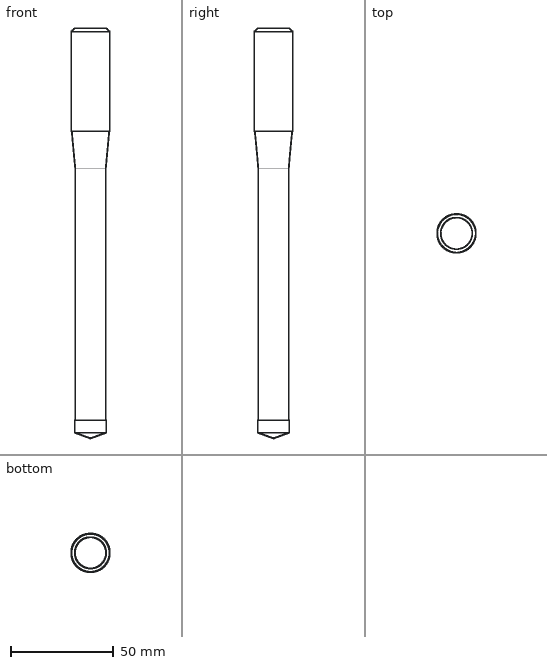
import cadquery as cq

TOTAL_LENGTH = 200.8
SHANK_RADIUS = 19.0 / 2
TAPER_TOP_RADIUS = 18.5 / 2
TIP_RADIUS = 15.5 / 2
STEM_RELIEF = 0.18
STEM_RADIUS = TIP_RADIUS - STEM_RELIEF

BOTTOM = -TOTAL_LENGTH / 2
TOP = TOTAL_LENGTH / 2
POINT_HEIGHT = 2.8
TIP_LENGTH = 9.0
SHANK_LENGTH = 50.5
TAPER_LENGTH = 18.0
END_CHAMFER = 1.8

POINT_BASE = BOTTOM + POINT_HEIGHT
JOINT = BOTTOM + TIP_LENGTH
SHANK_BOTTOM = TOP - SHANK_LENGTH
TAPER_BOTTOM = SHANK_BOTTOM - TAPER_LENGTH


def revolve_about_z(outline):
    """Revolve a closed (radius, height) outline about the Z axis."""
    return cq.Workplane("XZ").polyline(outline).close().revolve(360, (0, 0), (0, 1))


def make_holder():
    """Slim stem widening along a taper, then stepping out to a chamfered shank."""
    return revolve_about_z([
        (0, JOINT),
        (STEM_RADIUS, JOINT),
        (STEM_RADIUS, TAPER_BOTTOM),
        (TAPER_TOP_RADIUS, SHANK_BOTTOM),
        (SHANK_RADIUS, SHANK_BOTTOM),
        (SHANK_RADIUS, TOP - END_CHAMFER),
        (SHANK_RADIUS - END_CHAMFER, TOP),
        (0, TOP),
    ])


def make_tip():
    """Short cylindrical tip with a conical point, butted against the stem."""
    return revolve_about_z([
        (0, BOTTOM),
        (TIP_RADIUS, POINT_BASE),
        (TIP_RADIUS, JOINT),
        (0, JOINT),
    ])


holder = make_holder()
tip = make_tip()

result = cq.Compound.makeCompound([holder.val(), tip.val()])